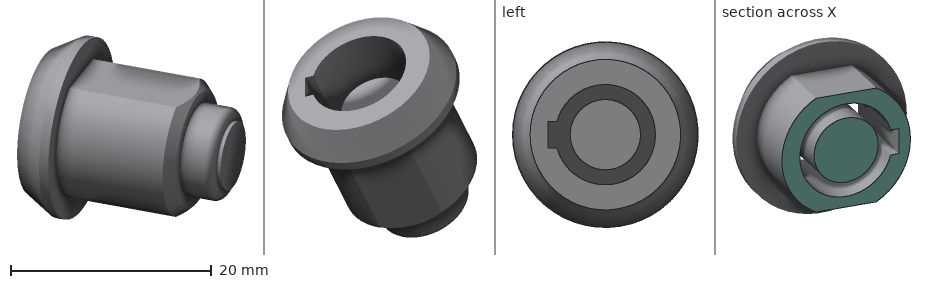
import cadquery as cq

length = 20.2
cone_length = 3.0
rim_width = 0.99
body_end = 16.36
tip_end = 19.8

flange_face_diameter = 15.0
flange_diameter = 18.5
body_diameter = 14.02
across_flats = 12.4
body_chamfer = 1.0
tip_diameter = 9.51
tip_fillet = 0.8
pin_diameter = 7.0

bore_diameter = 10.0
bore_depth = 14.0
pin_inner_end = 4.57
key_width = 2.67
key_reach = 5.7

flange_end = cone_length + rim_width


def cylinder(diameter, start, end):
    """Solid cylinder on the X axis between two stations."""
    return cq.Workplane("YZ", origin=(start, 0, 0)).circle(diameter / 2).extrude(end - start)


def make_flange():
    """Conical face followed by a narrow cylindrical rim."""
    return (
        cq.Workplane("XY")
        .polyline([
            (0, 0),
            (0, flange_face_diameter / 2),
            (cone_length, flange_diameter / 2),
            (flange_end, flange_diameter / 2),
            (flange_end, 0),
        ])
        .close()
        .revolve(360, (0, 0, 0), (1, 0, 0))
    )


def make_body():
    """Round barrel, chamfered at its far end, with flats above and below."""
    barrel = cylinder(body_diameter, flange_end, body_end).faces(">X").chamfer(body_chamfer)
    slab = cq.Workplane("XY").box(2 * length, body_diameter, across_flats)
    return barrel.intersect(slab)


def make_tip():
    """Rounded nose with a short pin standing out of it."""
    nose = cylinder(tip_diameter, body_end, tip_end).faces(">X").edges().fillet(tip_fillet)
    return nose.union(cylinder(pin_diameter, tip_end, length))


def make_socket():
    """Blind bore with a key slot toward +Y and the pin left standing along its axis."""
    bore = cylinder(bore_diameter, 0, bore_depth)
    key_slot = cq.Workplane("XY").box(bore_depth, key_reach, key_width, centered=(False, False, True))
    pin = cylinder(pin_diameter, pin_inner_end, bore_depth)
    return bore.union(key_slot).cut(pin)


result = make_flange().union(make_body()).union(make_tip()).cut(make_socket())